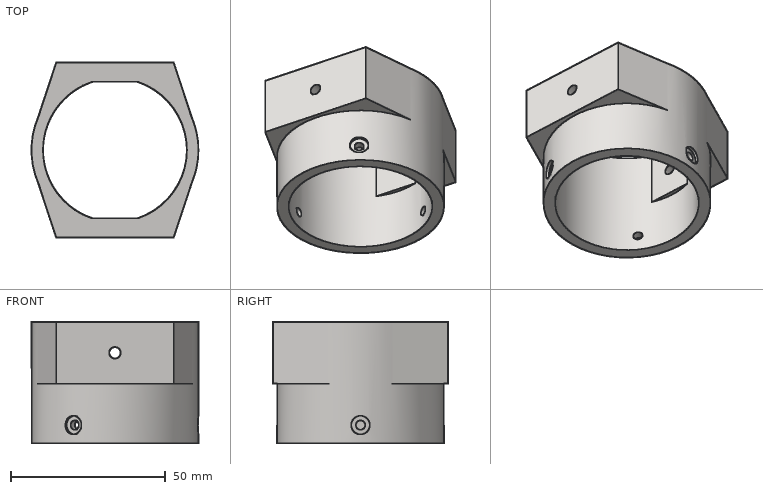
import cadquery as cq

outer_diameter = 54.0
bore_diameter = 46.4
total_height = 39.2

block_height = 20.0
block_span = 56.6
flat_width = 38.0
waist_width = 50.75
waist_gap = 18.0
block_bottom = total_height - block_height

pad_width = 15.95
pad_span = 44.05
pad_thickness = 2.0

block_hole_diameter = 3.6
screw_hole_diameter = 3.0
screw_head_diameter = 6.0
screw_head_depth = 1.0
screw_height = 5.9
screw_count = 3


def block(side):
    """Tapered block joined to the sleeve; side is +1 for +Y, -1 for -Y."""
    inner_y = side * waist_gap / 2
    outer_y = side * block_span / 2
    return (
        cq.Workplane("XY", origin=(0, 0, block_bottom))
        .polyline([
            (-waist_width / 2, inner_y),
            (waist_width / 2, inner_y),
            (flat_width / 2, outer_y),
            (-flat_width / 2, outer_y),
        ])
        .close()
        .extrude(block_height)
    )


def pad(side):
    """Flat-faced pad that protrudes slightly into the bore."""
    center_y = side * (pad_span + pad_thickness) / 2
    return (
        cq.Workplane("XY", origin=(0, center_y, block_bottom))
        .rect(pad_width, pad_thickness)
        .extrude(block_height)
    )


def screw_hole(angle):
    """Counterbored radial hole cutter through one wall of the sleeve."""
    outer_radius = outer_diameter / 2
    axis_plane = cq.Workplane("YZ", origin=(0, 0, screw_height))
    shank = axis_plane.circle(screw_hole_diameter / 2).extrude(block_span / 2)
    head = (
        axis_plane.workplane(offset=outer_radius - screw_head_depth)
        .circle(screw_head_diameter / 2)
        .extrude(2 * screw_head_depth)
    )
    return shank.union(head).rotate((0, 0, 0), (0, 0, 1), angle)


result = cq.Workplane("XY").circle(outer_diameter / 2).extrude(total_height)
for side in (-1, 1):
    result = result.union(block(side))
result = result.cut(cq.Workplane("XY").circle(bore_diameter / 2).extrude(total_height))
for side in (-1, 1):
    result = result.union(pad(side))

block_hole = (
    cq.Workplane("XZ", origin=(0, 0, block_bottom + block_height / 2))
    .circle(block_hole_diameter / 2)
    .extrude(block_span / 2, both=True)
)
result = result.cut(block_hole)

for index in range(screw_count):
    result = result.cut(screw_hole(index * 360 / screw_count))